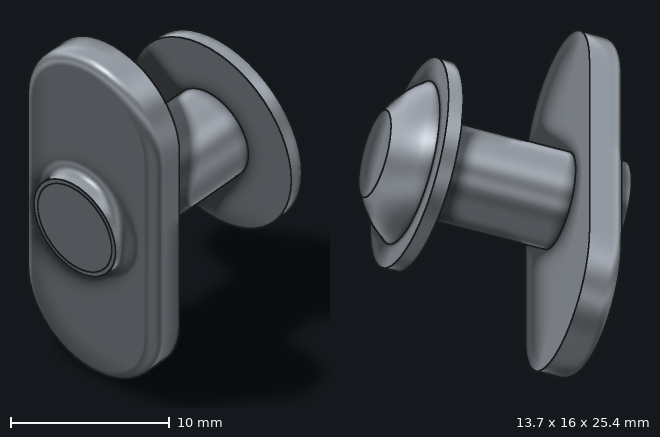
import cadquery as cq

plate_length = 25.4
plate_width = 11.2
plate_thickness = 2.41
plate_edge_radius = 0.8
boss_diameter = 6.98
boss_height = 1.25
boss_root_radius = 0.75

shank_diameter = 6.35
grip_gap = 9.02
flange_diameter = 13.72
flange_thickness = 1.0
dome_base_diameter = 10.62
dome_top_diameter = 5.7
dome_height = 2.34
dome_bulge = 0.2

shank_tip = -boss_height
flange_front = plate_thickness + grip_gap
flange_back = flange_front + flange_thickness
dome_top = flange_back + dome_height


def disc(diameter, y_start, y_end):
    """Cylinder on the Y axis between two Y positions."""
    plane = cq.Workplane("XZ", origin=(0, y_start, 0))
    return plane.circle(diameter / 2).extrude(y_start - y_end)


def make_plate():
    """Slot plate with rounded front rim, filleted boss and through bore."""
    slab = cq.Workplane("XZ").slot2D(plate_length, plate_width, 90).extrude(-plate_thickness)
    slab = slab.faces("<Y").edges().fillet(plate_edge_radius)

    plate = slab.union(disc(boss_diameter, shank_tip, plate_thickness / 2))
    boss_root = cq.selectors.NearestToPointSelector((0, 0, 0))
    plate = plate.edges("%CIRCLE").edges(boss_root).fillet(boss_root_radius)

    return plate.cut(disc(shank_diameter, shank_tip, plate_thickness))


def make_dome():
    """Flat-topped dome with a slightly convex profile, revolved about Y."""
    base_radius = dome_base_diameter / 2
    top_radius = dome_top_diameter / 2
    return (
        cq.Workplane("XY")
        .moveTo(0, flange_back)
        .lineTo(base_radius, flange_back)
        .sagittaArc((top_radius, dome_top), -dome_bulge)
        .lineTo(0, dome_top)
        .close()
        .revolve(360, (0, 0, 0), (0, 1, 0))
    )


def make_rivet():
    """Shank flush with the boss face, flange and domed head."""
    shank = disc(shank_diameter, shank_tip, flange_front)
    flange = disc(flange_diameter, flange_front, flange_back)
    return shank.union(flange).union(make_dome())


plate = make_plate()
rivet = make_rivet()

result = cq.Compound.makeCompound([plate.val(), rivet.val()])